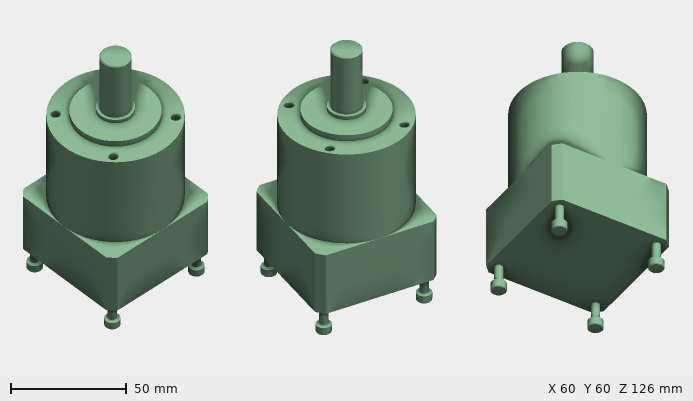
import cadquery as cq
import math

TOTAL_HEIGHT = 126.0
BASE_BOTTOM = 13.0
BASE_HEIGHT = 31.0
BARREL_HEIGHT = 47.0
PILOT_HEIGHT = 3.2
COLLAR_HEIGHT = 1.9

BODY_WIDTH = 60.0
BASE_CORNER_DIAMETER = 80.0
PILOT_DIAMETER = 40.0
COLLAR_DIAMETER = 17.0
SHAFT_DIAMETER = 14.0
SHAFT_CHAMFER = 0.5

HOLE_CIRCLE_DIAMETER = 52.0
HOLE_DIAMETER = 4.2
HOLE_MOUTH_DIAMETER = 5.0
HOLE_DEPTH = 10.1
DRILL_POINT_ANGLE = 118.0

SCREW_CIRCLE_DIAMETER = 69.9
HEAD_DIAMETER = 7.0
HEAD_HEIGHT = 4.0
HEAD_CHAMFER = 0.4
SHANK_DIAMETER = 4.0
NECK_DIAMETER = 3.3
NECK_FILLET = 0.5

BARREL_BOTTOM = BASE_BOTTOM + BASE_HEIGHT
BARREL_TOP = BARREL_BOTTOM + BARREL_HEIGHT
PILOT_TOP = BARREL_TOP + PILOT_HEIGHT
COLLAR_TOP = PILOT_TOP + COLLAR_HEIGHT
SHANK_BOTTOM = HEAD_HEIGHT + NECK_FILLET


def circle_corners(circle_diameter):
    """Four places on a circle around the Z axis, one towards each corner of the base."""
    offset = circle_diameter / 2 * math.cos(math.pi / 4)
    return [(x, y) for x in (-offset, offset) for y in (-offset, offset)]


def cylinder(diameter, bottom, top):
    """Upright cylinder on the Z axis between two levels."""
    return cq.Workplane("XY").workplane(offset=bottom).circle(diameter / 2).extrude(top - bottom)


def make_base():
    """Square block with its four corners turned to a common diameter."""
    block = (
        cq.Workplane("XY")
        .workplane(offset=BASE_BOTTOM)
        .rect(BODY_WIDTH, BODY_WIDTH)
        .extrude(BASE_HEIGHT)
    )
    return block.intersect(cylinder(BASE_CORNER_DIAMETER, BASE_BOTTOM, BARREL_BOTTOM))


def make_hole_cutter():
    """Blind hole with a countersunk mouth at Z = 0 and a drill point below."""
    hole_radius = HOLE_DIAMETER / 2
    mouth_radius = HOLE_MOUTH_DIAMETER / 2
    countersink_depth = mouth_radius - hole_radius
    point_depth = hole_radius / math.tan(math.radians(DRILL_POINT_ANGLE / 2))
    return (
        cq.Workplane("XZ")
        .moveTo(0, 0)
        .lineTo(mouth_radius, 0)
        .lineTo(hole_radius, -countersink_depth)
        .lineTo(hole_radius, -HOLE_DEPTH)
        .lineTo(0, -HOLE_DEPTH - point_depth)
        .close()
        .revolve(360, (0, 0, 0), (0, 1, 0))
    )


def make_housing():
    """Gearbox with base, barrel, pilot, collar and output shaft in one solid."""
    shaft = cylinder(SHAFT_DIAMETER, COLLAR_TOP, TOTAL_HEIGHT).faces(">Z").chamfer(SHAFT_CHAMFER)
    body = (
        make_base()
        .union(cylinder(BODY_WIDTH, BARREL_BOTTOM, BARREL_TOP))
        .union(cylinder(PILOT_DIAMETER, BARREL_TOP, PILOT_TOP))
        .union(cylinder(COLLAR_DIAMETER, PILOT_TOP, COLLAR_TOP))
        .union(shaft)
    )
    hole_cutter = make_hole_cutter()
    for x, y in circle_corners(HOLE_CIRCLE_DIAMETER):
        body = body.cut(hole_cutter.translate((x, y, BARREL_TOP)))
    return body


def make_screw(x, y):
    """Head-down screw, flared from its neck to the head; its shank ends at the base."""
    head_radius = HEAD_DIAMETER / 2
    shank_radius = SHANK_DIAMETER / 2
    neck_radius = NECK_DIAMETER / 2
    return (
        cq.Workplane("XZ")
        .moveTo(0, 0)
        .lineTo(head_radius - HEAD_CHAMFER, 0)
        .lineTo(head_radius, HEAD_CHAMFER)
        .lineTo(head_radius, HEAD_HEIGHT)
        .lineTo(neck_radius + NECK_FILLET, HEAD_HEIGHT)
        .radiusArc((neck_radius, SHANK_BOTTOM), NECK_FILLET)
        .lineTo(shank_radius, SHANK_BOTTOM)
        .lineTo(shank_radius, BASE_BOTTOM)
        .lineTo(0, BASE_BOTTOM)
        .close()
        .revolve(360, (0, 0, 0), (0, 1, 0))
        .translate((x, y, 0))
    )


housing = make_housing()
screws = [make_screw(x, y) for x, y in circle_corners(SCREW_CIRCLE_DIAMETER)]

result = cq.Compound.makeCompound([housing.val(), *[screw.val() for screw in screws]])